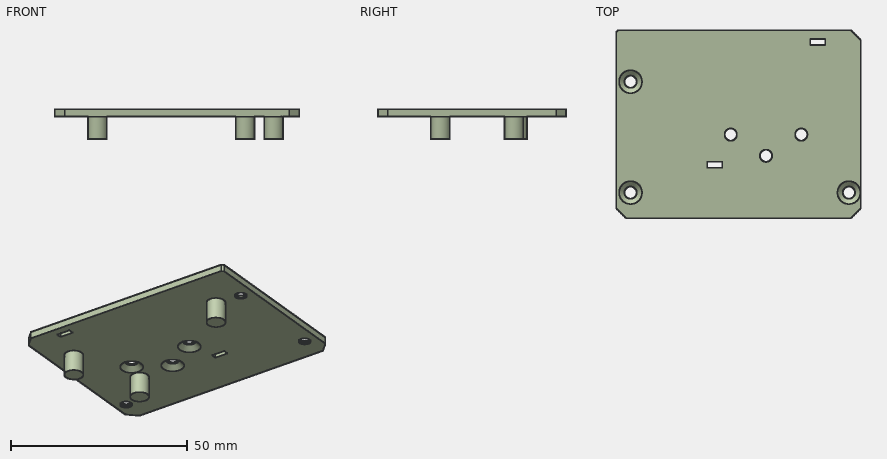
import cadquery as cq

plate_length = 69.4
plate_width = 53.4
plate_thickness = 2.1
corner_chamfer = 2.85
small_corner_chamfer = 0.6

total_height = 8.5
standoff_length = total_height - plate_thickness
standoff_diameter = 5.4
standoff_centers = [(12.1, 39.6), (54.0, 17.7), (62.1, 38.6)]

screw_hole_diameter = 3.4
countersink_diameter = 6.5
countersink_angle = 90

screw_left_x = 4.1
screw_right_x = 66.0
screw_front_y = 7.3
screw_back_y = 38.75
top_screw_centers = [
    (screw_left_x, screw_front_y),
    (screw_left_x, screw_back_y),
    (screw_right_x, screw_front_y),
]

middle_hole_x = 42.5
pair_half_spacing = 10.0
pair_y = 23.75
middle_hole_setback = 6.0
underside_screw_centers = [
    (middle_hole_x - pair_half_spacing, pair_y),
    (middle_hole_x + pair_half_spacing, pair_y),
    (middle_hole_x, pair_y - middle_hole_setback),
]

slot_length = 4.2
slot_width = 1.6
slot_centers = [(27.95, 15.2), (57.15, 50.0)]


def make_plate():
    """Flat plate with three large corner chamfers and a small one at the back left."""
    plate = cq.Workplane("XY").box(plate_length, plate_width, plate_thickness, centered=False)
    plate = plate.edges("|Z and (<Y or >X)").chamfer(corner_chamfer)
    back_left_corner = cq.selectors.NearestToPointSelector((0, plate_width, plate_thickness / 2))
    return plate.edges("|Z").edges(back_left_corner).chamfer(small_corner_chamfer)


def add_standoffs(body):
    """Solid cylinders hanging from the underside."""
    standoffs = (
        cq.Workplane("XY")
        .pushPoints(standoff_centers)
        .circle(standoff_diameter / 2)
        .extrude(-standoff_length)
    )
    return body.union(standoffs)


def cut_top_screw_holes(body):
    """Through holes countersunk from the top face."""
    top = cq.Workplane("XY", origin=(0, 0, plate_thickness))
    top = top.add(body).pushPoints(top_screw_centers)
    return top.cskHole(screw_hole_diameter, countersink_diameter, countersink_angle, plate_thickness)


def cut_underside_screw_holes(body):
    """Through holes countersunk from the underside of the plate."""
    underside = cq.Workplane(cq.Plane(origin=(0, 0, 0), xDir=(1, 0, 0), normal=(0, 0, -1)))
    underside = underside.add(body).pushPoints([(x, -y) for x, y in underside_screw_centers])
    return underside.cskHole(screw_hole_diameter, countersink_diameter, countersink_angle, plate_thickness)


def cut_slots(body):
    """Rectangular slots through the plate, long side along X."""
    cutter = (
        cq.Workplane("XY")
        .pushPoints(slot_centers)
        .rect(slot_length, slot_width)
        .extrude(plate_thickness)
    )
    return body.cut(cutter)


result = make_plate()
result = add_standoffs(result)
result = cut_top_screw_holes(result)
result = cut_underside_screw_holes(result)
result = cut_slots(result)